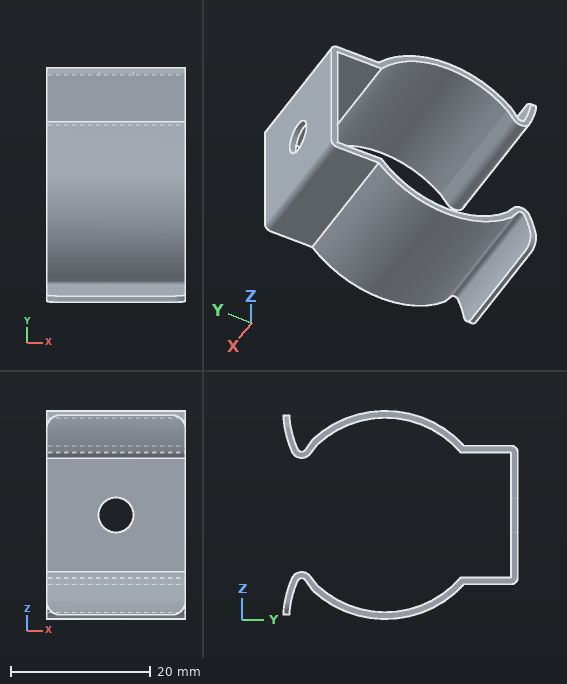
import cadquery as cq
import math

length = 33.75
width = 20.0
height = 29.98
thickness = 1.0
half_thickness = thickness / 2
lip_thickness = 0.9
half_lip = lip_thickness / 2

back_y = 19.07
front_y = back_y - length
back_half_height = 10.0
back_corner_radius = 1.0
hole_diameter = 5.0

arm_radius = 14.8
arm_center_z = height / 2 - arm_radius - half_thickness
arm_end_angle = math.radians(43)

bend_radius = 1.08
bend_y = -12.02
bend_z = 9.72

lip_height = 14.3
lip_start_angle = math.radians(66)
lip_corner_radius = 2.0


def polar(center, radius, angle):
    """Point on a circle, with the angle measured from +Z toward -Y."""
    return (center[0] - radius * math.sin(angle), center[1] + radius * math.cos(angle))


arm_center = (0, arm_center_z)
bend_center = (bend_y, bend_z)

arm_end = polar(arm_center, arm_radius, arm_end_angle)
to_bend_y = arm_end[0] - bend_y
to_bend_z = arm_end[1] - bend_z
descent = math.atan2(to_bend_z, to_bend_y) + math.asin(bend_radius / math.hypot(to_bend_y, to_bend_z))
bend_start_angle = math.pi + descent
bend_end_angle = math.pi - lip_start_angle

lip_start = polar(bend_center, bend_radius + half_lip, bend_end_angle)
lip_run = lip_start[0] - front_y
lip_rise = lip_height - lip_start[1]
half_lip_sweep = math.atan2(lip_rise, lip_run) - lip_start_angle
outer_lip_radius = math.hypot(lip_run, lip_rise) / (2 * math.sin(half_lip_sweep))
inner_lip_radius = outer_lip_radius - lip_thickness
lip_end_angle = bend_end_angle - 2 * half_lip_sweep
lip_center = polar(lip_start, -outer_lip_radius, bend_end_angle)


def arm_start(radius, z):
    """Point where an arm arc meets a flat flange face."""
    return (math.sqrt(radius**2 - (z - arm_center_z) ** 2), z)


def add_arc(path, center, radius, start_angle, end_angle):
    """Continue a path along an arc whose first point is already reached."""
    middle = polar(center, radius, (start_angle + end_angle) / 2)
    return path.threePointArc(middle, polar(center, radius, end_angle))


def make_upper_half():
    """Strip above the mid plane, traced along its outside and back along its inside."""
    outer_arm = arm_radius + half_thickness
    inner_arm = arm_radius - half_thickness
    tight_bend = bend_radius - half_lip
    wide_bend = bend_radius + half_lip
    inner_z = back_half_height - thickness
    outer_start = arm_start(outer_arm, back_half_height)
    inner_start = arm_start(inner_arm, inner_z)
    outer_start_angle = -math.asin(outer_start[0] / outer_arm)
    inner_start_angle = -math.asin(inner_start[0] / inner_arm)

    path = cq.Workplane("YZ").moveTo(back_y, 0).lineTo(back_y, back_half_height).lineTo(*outer_start)
    path = add_arc(path, arm_center, outer_arm, outer_start_angle, arm_end_angle)
    path = path.lineTo(*polar(bend_center, tight_bend, bend_start_angle))
    path = add_arc(path, bend_center, tight_bend, bend_start_angle, bend_end_angle)
    path = add_arc(path, lip_center, inner_lip_radius, bend_end_angle, lip_end_angle)
    path = path.lineTo(*polar(lip_center, outer_lip_radius, lip_end_angle))
    path = add_arc(path, lip_center, outer_lip_radius, lip_end_angle, bend_end_angle)
    path = add_arc(path, bend_center, wide_bend, bend_end_angle, bend_start_angle)
    path = path.lineTo(*polar(arm_center, inner_arm, arm_end_angle))
    path = add_arc(path, arm_center, inner_arm, arm_end_angle, inner_start_angle)
    path = path.lineTo(back_y - thickness, inner_z).lineTo(back_y - thickness, 0).close()
    half = path.extrude(width / 2, both=True)
    back_corner = cq.selectors.NearestToPointSelector((0, back_y, back_half_height))
    return half.edges(back_corner).fillet(back_corner_radius)


def make_lip_corner_cutter():
    """Waste around a rounded rectangle that trims the free lip corners."""
    tip_z = polar(lip_center, inner_lip_radius, lip_end_angle)[1]
    depth = bend_y - front_y
    plane = cq.Workplane("XZ", origin=(0, bend_y, 0))
    waste = plane.rect(2 * width, 2 * height).extrude(depth)
    keep = plane.rect(width, 2 * tip_z).extrude(depth).edges("|Y").fillet(lip_corner_radius)
    return waste.cut(keep)


def make_hole():
    """Mounting hole through the back."""
    return cq.Workplane("XZ", origin=(0, back_y, 0)).circle(hole_diameter / 2).extrude(thickness)


upper_half = make_upper_half()
clip = upper_half.union(upper_half.mirror("XY"))
result = clip.cut(make_hole()).cut(make_lip_corner_cutter()).clean()